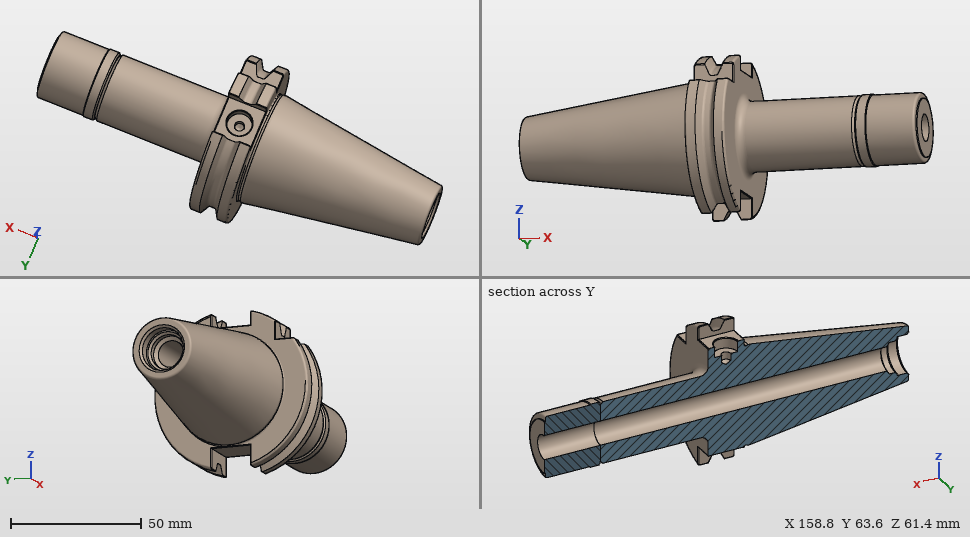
import cadquery as cq
import math

TOTAL_LENGTH = 158.8
CHAMFER_ANGLE = 45

GAUGE_RADIUS = 22.2
GAUGE_X = 68.9
TAPER_HALF_SLOPE = 7 / 48
TAPER_END_RADIUS = GAUGE_RADIUS - GAUGE_X * TAPER_HALF_SLOPE
TAPER_END_FILLET = 1.0
RELIEF_X = 70.0
NECK_RADIUS = 21.9
NECK_FILLET = 0.6

FLANGE_RADIUS = 31.8
FLANGE_X = 71.6
FLANGE_WIDTH = 15.9
FLANGE_END_X = FLANGE_X + FLANGE_WIDTH
FLANGE_FILLET = 1.0
GROOVE_X = FLANGE_X + FLANGE_WIDTH / 2
GROOVE_FLOOR_RADIUS = 28.1
GROOVE_MOUTH_HALF_WIDTH = 3.7
GROOVE_FLANK_ANGLE = 30
GROOVE_FLOOR_HALF_WIDTH = GROOVE_MOUTH_HALF_WIDTH - (FLANGE_RADIUS - GROOVE_FLOOR_RADIUS) * math.tan(
    math.radians(GROOVE_FLANK_ANGLE)
)
GROOVE_FILLET = 1.1

SLOT_WIDTH = 16.0
UPPER_SLOT_Z = 25.0
LOWER_SLOT_Z = -22.5
NOTCH_OFFSET = 18.5
CUTOUT_CHAMFER = 0.3

SHANK_RADIUS = 13.7
SHANK_FILLET = 3.2
SHANK_END_X = 134.3
SHANK_END_CHAMFER = 1.1

COLLAR_RADIUS = 14.0
COLLAR_CHAMFER = 0.6
COLLAR_END_X = 139.0
COLLAR_BACK_CHAMFER = 0.3
NUT_RADIUS = 13.7
NUT_END_FILLET = 1.0
LIP_RADIUS = 11.5
LIP_HEIGHT = 0.5

DRILL_TIP_ANGLE = 118

THROUGH_RADIUS = 5.2
THREAD_RADIUS = 6.8
THREAD_END_X = 8.5
THREAD_CHAMFER = 1.0
COUNTERBORE_RADIUS = 8.4
COUNTERBORE_DEPTH = 5.1
COUNTERBORE_CHAMFER = 1.0

POCKET_RADIUS = 5.0
POCKET_DEPTH = 4.6
POCKET_CHAMFER = 0.3
PILOT_RADIUS = 1.9
PILOT_DEPTH = 3.2


def turned(profile):
    """Revolve a closed profile of (x, radius) about the X axis."""
    return profile.close().revolve(360, (0, 0, 0), (1, 0, 0))


def cylinder_x(start_x, end_x, radius):
    return cq.Workplane("YZ", origin=(start_x, 0, 0)).circle(radius).extrude(end_x - start_x)


def cone_x(start_x, start_radius, end_x, end_radius):
    return turned(
        cq.Workplane("XZ")
        .moveTo(start_x, 0)
        .lineTo(start_x, start_radius)
        .lineTo(end_x, end_radius)
        .lineTo(end_x, 0)
    )


def drill_cone_length(wide_radius, narrow_radius):
    """Axial length of a drill cone between two radii."""
    return (wide_radius - narrow_radius) / math.tan(math.radians(DRILL_TIP_ANGLE / 2))


def fillet_midpoint_offset(radius):
    """Offset along each axis from a fillet's centre to the middle of its arc."""
    return radius * math.sqrt(0.5)


def taper():
    """Taper with a rounded small end and a filleted relief against the flange."""
    neck_x = FLANGE_X - NECK_FILLET
    fillet_top = NECK_RADIUS + NECK_FILLET
    diagonal = fillet_midpoint_offset(NECK_FILLET)
    blank = turned(
        cq.Workplane("XZ")
        .moveTo(0, 0)
        .lineTo(0, TAPER_END_RADIUS)
        .lineTo(GAUGE_X, GAUGE_RADIUS)
        .lineTo(RELIEF_X, GAUGE_RADIUS)
        .lineTo(neck_x, NECK_RADIUS)
        .threePointArc((neck_x + diagonal, fillet_top - diagonal), (FLANGE_X, fillet_top))
        .lineTo(FLANGE_X, 0)
    )
    return blank.faces("<X").edges().fillet(TAPER_END_FILLET)


def gripper_groove():
    ring = turned(
        cq.Workplane("XZ")
        .moveTo(GROOVE_X - GROOVE_MOUTH_HALF_WIDTH, FLANGE_RADIUS)
        .lineTo(GROOVE_X - GROOVE_FLOOR_HALF_WIDTH, GROOVE_FLOOR_RADIUS)
        .lineTo(GROOVE_X + GROOVE_FLOOR_HALF_WIDTH, GROOVE_FLOOR_RADIUS)
        .lineTo(GROOVE_X + GROOVE_MOUTH_HALF_WIDTH, FLANGE_RADIUS)
    )
    floor_edges = cq.selectors.RadiusNthSelector(0)
    return ring.edges("%CIRCLE").edges(floor_edges).fillet(GROOVE_FILLET)


def flange_cutout(min_y, max_y, min_z, max_z):
    return cq.Workplane("XY").box(
        FLANGE_WIDTH, max_y - min_y, max_z - min_z, centered=False
    ).translate((FLANGE_X, min_y, min_z))


def flange():
    """Grooved disc with two drive slots and a corner notch, open at both faces."""
    body = cylinder_x(FLANGE_X, FLANGE_END_X, FLANGE_RADIUS).edges().fillet(FLANGE_FILLET)
    body = body.cut(gripper_groove())
    half_slot = SLOT_WIDTH / 2
    upper_slot = flange_cutout(-half_slot, half_slot, UPPER_SLOT_Z, FLANGE_RADIUS)
    lower_slot = flange_cutout(-half_slot, half_slot, -FLANGE_RADIUS, LOWER_SLOT_Z)
    notch = flange_cutout(-FLANGE_RADIUS, -NOTCH_OFFSET, NOTCH_OFFSET, FLANGE_RADIUS)
    body = body.cut(upper_slot).cut(lower_slot).cut(notch)
    end_face_edges = body.faces("<X or >X").edges("%LINE")
    return end_face_edges.chamfer(CUTOUT_CHAMFER)


def shank():
    fillet_end_x = FLANGE_END_X + SHANK_FILLET
    fillet_top = SHANK_RADIUS + SHANK_FILLET
    diagonal = fillet_midpoint_offset(SHANK_FILLET)
    return turned(
        cq.Workplane("XZ")
        .moveTo(FLANGE_END_X, 0)
        .lineTo(FLANGE_END_X, fillet_top)
        .threePointArc((fillet_end_x - diagonal, fillet_top - diagonal), (fillet_end_x, SHANK_RADIUS))
        .lineTo(SHANK_END_X - SHANK_END_CHAMFER, SHANK_RADIUS)
        .lineTo(SHANK_END_X, SHANK_RADIUS - SHANK_END_CHAMFER)
        .lineTo(SHANK_END_X, 0)
    )


def axial_bore():
    """Counterbore and thread hole at the taper end, narrowing by a drill cone to a through hole."""
    bore = cylinder_x(0, TOTAL_LENGTH, THROUGH_RADIUS)
    bore = bore.union(cylinder_x(0, THREAD_END_X, THREAD_RADIUS))
    bore = bore.union(cylinder_x(0, COUNTERBORE_DEPTH, COUNTERBORE_RADIUS))
    mouth = cone_x(0, COUNTERBORE_RADIUS + COUNTERBORE_CHAMFER, COUNTERBORE_CHAMFER, COUNTERBORE_RADIUS)
    thread_mouth = cone_x(
        COUNTERBORE_DEPTH, THREAD_RADIUS + THREAD_CHAMFER, COUNTERBORE_DEPTH + THREAD_CHAMFER, THREAD_RADIUS
    )
    seat_end_x = THREAD_END_X + drill_cone_length(THREAD_RADIUS, THROUGH_RADIUS)
    seat = cone_x(THREAD_END_X, THREAD_RADIUS, seat_end_x, THROUGH_RADIUS)
    return bore.union(mouth).union(thread_mouth).union(seat)


def slot_pocket():
    """Flat-bottomed pocket with a drilled pilot hole at its centre."""
    floor_z = UPPER_SLOT_Z - POCKET_DEPTH
    pilot_z = floor_z - PILOT_DEPTH
    tip_depth = drill_cone_length(PILOT_RADIUS, 0)
    pocket = cq.Workplane("XY", origin=(GROOVE_X, 0, floor_z)).circle(POCKET_RADIUS).extrude(POCKET_DEPTH)
    mouth = (
        cq.Workplane("XY", origin=(GROOVE_X, 0, UPPER_SLOT_Z))
        .circle(POCKET_RADIUS + POCKET_CHAMFER)
        .extrude(-POCKET_CHAMFER, taper=CHAMFER_ANGLE)
    )
    pilot = (
        cq.Workplane("XZ", origin=(GROOVE_X, 0, 0))
        .moveTo(0, floor_z)
        .lineTo(PILOT_RADIUS, floor_z)
        .lineTo(PILOT_RADIUS, pilot_z)
        .lineTo(0, pilot_z - tip_depth)
        .close()
        .revolve(360, (0, 0, 0), (0, 1, 0))
    )
    return pocket.union(mouth).union(pilot)


def make_holder():
    body = taper().union(flange()).union(shank())
    return body.cut(axial_bore()).cut(slot_pocket())


def make_nut():
    collar = cylinder_x(SHANK_END_X, COLLAR_END_X, COLLAR_RADIUS)
    collar = collar.faces("<X").edges().chamfer(COLLAR_CHAMFER)
    collar = collar.faces(">X").edges().chamfer(COLLAR_BACK_CHAMFER)
    sleeve_end_x = TOTAL_LENGTH - LIP_HEIGHT
    sleeve = cylinder_x(COLLAR_END_X, sleeve_end_x, NUT_RADIUS)
    sleeve = sleeve.faces(">X").edges().fillet(NUT_END_FILLET)
    lip = cylinder_x(sleeve_end_x, TOTAL_LENGTH, LIP_RADIUS)
    return collar.union(sleeve).union(lip).cut(axial_bore())


holder = make_holder()
nut = make_nut()

result = cq.Compound.makeCompound([holder.val(), nut.val()])